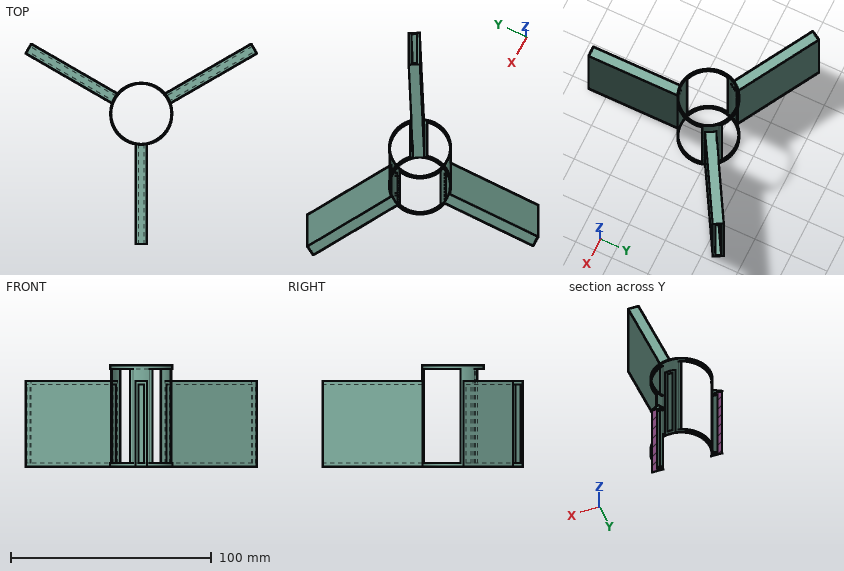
import cadquery as cq

SLEEVE_OUTER_DIAMETER = 31.0
SLEEVE_INNER_DIAMETER = 30.0
SLEEVE_HEIGHT = 50.8
RIM_HEIGHT = 2.0

FIN_COUNT = 3
FIN_ANGLE_STEP = 360.0 / FIN_COUNT
FIRST_FIN_ANGLE = -90.0
FIN_TIP_RADIUS = 65.0
FIN_THICKNESS = 5.6
FIN_HEIGHT = 42.9
POCKET_WIDTH = FIN_THICKNESS / 2.0
FIN_END_WALL = 1.8
POCKET_HEIGHT = FIN_HEIGHT - 2.0 * FIN_END_WALL

WINDOW_WIDTH = 18.07
WINDOW_NEAR_SIDE = -14.4
WINDOW_HEIGHT = SLEEVE_HEIGHT - 2.0 * RIM_HEIGHT
WINDOW_REACH = SLEEVE_OUTER_DIAMETER
SIDE_WINDOW_STARTS = (0.0, -WINDOW_REACH)
REAR_WINDOW_ANGLE = 120.0


def upright_cylinder(diameter):
    """Cylinder on the Z axis with the height of the sleeve."""
    return cq.Workplane("XY").circle(diameter / 2.0).extrude(SLEEVE_HEIGHT)


def radial_bar(thickness, height, base_z):
    """Bar along +X from the axis to the fin tip, centred on the XZ plane."""
    bar = cq.Workplane("XY").box(FIN_TIP_RADIUS, thickness, height, centered=(False, True, False))
    return bar.translate((0, 0, base_z))


def make_fin(angle):
    """Hollow fin at the given angle, with its pocket open at the tip."""
    pocket = radial_bar(POCKET_WIDTH, POCKET_HEIGHT, FIN_END_WALL)
    fin = radial_bar(FIN_THICKNESS, FIN_HEIGHT, 0).cut(pocket)
    return fin.rotate((0, 0, 0), (0, 0, 1), angle)


def window_cutter(start_x):
    """Box that spans one side of the sleeve along X, between the two rims."""
    box = cq.Workplane("XY").box(WINDOW_REACH, WINDOW_WIDTH, WINDOW_HEIGHT, centered=False)
    return box.translate((start_x, WINDOW_NEAR_SIDE, RIM_HEIGHT))


def make_sleeve():
    """Thin sleeve with two side windows and one rear window."""
    sleeve = upright_cylinder(SLEEVE_OUTER_DIAMETER).cut(upright_cylinder(SLEEVE_INNER_DIAMETER))
    for start_x in SIDE_WINDOW_STARTS:
        sleeve = sleeve.cut(window_cutter(start_x))
    rear_cutter = window_cutter(0.0).rotate((0, 0, 0), (0, 0, 1), REAR_WINDOW_ANGLE)
    return sleeve.cut(rear_cutter)


result = make_sleeve()
sleeve_envelope = upright_cylinder(SLEEVE_OUTER_DIAMETER)
for index in range(FIN_COUNT):
    fin = make_fin(FIRST_FIN_ANGLE + index * FIN_ANGLE_STEP)
    result = result.union(fin.cut(sleeve_envelope))